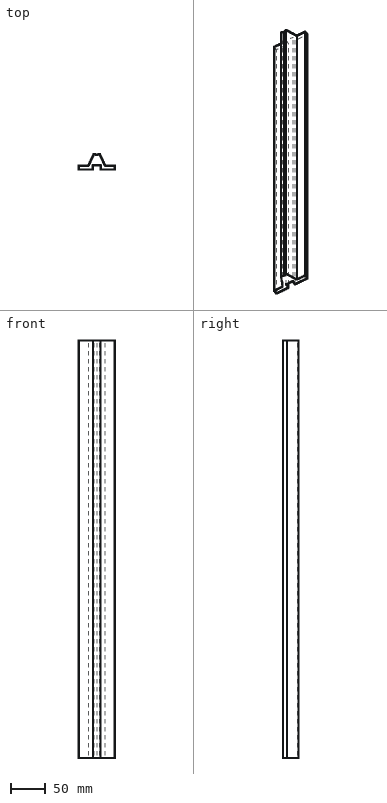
import cadquery as cq

length = 599.5
base_width = 52.0
total_height = 22.82

flange_thickness = 6.0
rib_root_width = 24.0
rib_tip_width = 8.4

seat_depth = 1.5

groove_width = 11.0
groove_depth = 6.4


def rail_body():
    """Flat base with a tapered, V-tipped rib along its middle, extruded along Z."""
    half_base = base_width / 2
    half_root = rib_root_width / 2
    half_tip = rib_tip_width / 2
    profile = [
        (-half_base, 0),
        (half_base, 0),
        (half_base, flange_thickness),
        (half_root, flange_thickness),
        (half_tip, total_height),
        (0, total_height - seat_depth),
        (-half_tip, total_height),
        (-half_root, flange_thickness),
        (-half_base, flange_thickness),
    ]
    return cq.Workplane("XY").polyline(profile).close().extrude(length)


def underside_groove():
    """Rectangular channel running the full length of the base, open at its underside."""
    return (
        cq.Workplane("XY")
        .center(0, groove_depth / 2)
        .rect(groove_width, groove_depth)
        .extrude(length)
    )


result = rail_body().cut(underside_groove())